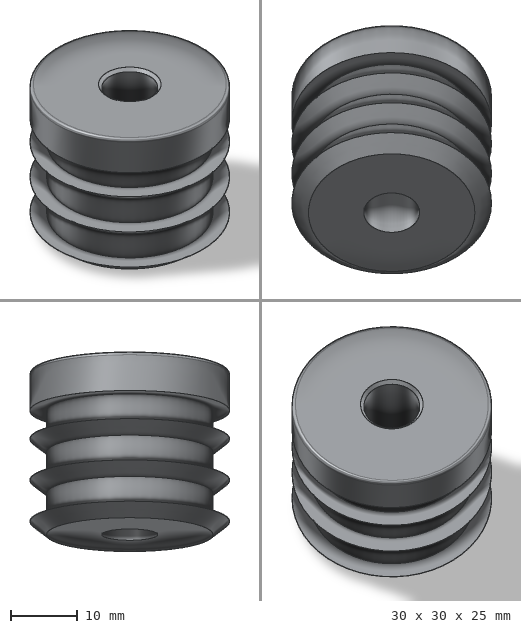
import cadquery as cq

head_diameter = 30.0
total_height = 25.0
head_height = 6.0
edge_radius = 0.5

stem_diameter = 25.0
fin_diameter = head_diameter
fin_height = 2.0
fin_count = 3
stem_height = total_height - head_height
fin_pitch = stem_height / fin_count

bore_diameter = 8.37
bore_chamfer = 0.5


def make_head():
    """Round cap with a rounded upper rim."""
    head = cq.Workplane("XY").workplane(offset=stem_height).circle(head_diameter / 2).extrude(head_height)
    return head.faces(">Z").edges().fillet(edge_radius)


def make_fin(base_z):
    """Conical fin that flares upward from the stem to a sharp, flat-topped rim."""
    profile = (
        cq.Workplane("XZ")
        .moveTo(0, base_z)
        .lineTo(stem_diameter / 2, base_z)
        .lineTo(fin_diameter / 2, base_z + fin_height)
        .lineTo(0, base_z + fin_height)
        .close()
    )
    return profile.revolve(360, (0, 0, 0), (0, 1, 0))


body = cq.Workplane("XY").circle(stem_diameter / 2).extrude(stem_height)
for index in range(fin_count):
    body = body.union(make_fin(index * fin_pitch))
body = body.union(make_head())

bore = cq.Workplane("XY").circle(bore_diameter / 2).extrude(total_height)
body = body.cut(bore)
result = body.faces(">Z").edges("%CIRCLE").edges(cq.selectors.RadiusNthSelector(0)).chamfer(bore_chamfer)